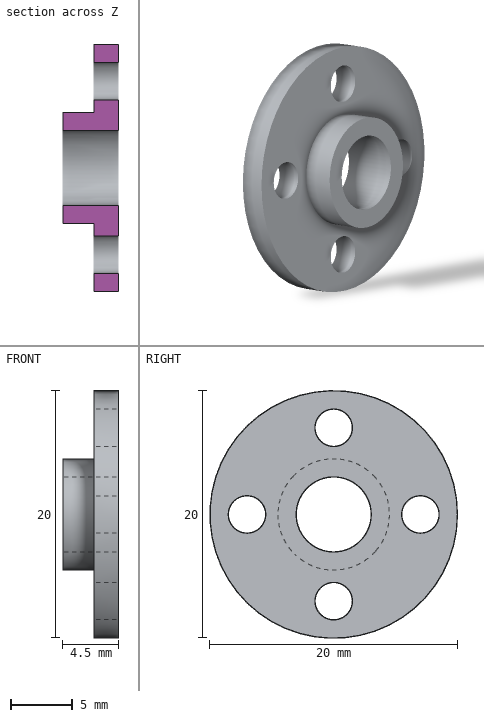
import cadquery as cq

flange_diameter = 20.0
flange_thickness = 2.0
hub_diameter = 9.0
overall_length = 4.5
bore_diameter = 6.05
bolt_hole_diameter = 3.0
bolt_circle_diameter = 14.0
bolt_hole_count = 4

hub_length = overall_length - flange_thickness

hub = cq.Workplane("YZ").circle(hub_diameter / 2).extrude(hub_length)
flange = (
    cq.Workplane("YZ", origin=(hub_length, 0, 0))
    .circle(flange_diameter / 2)
    .extrude(flange_thickness)
)

bore = cq.Workplane("YZ").circle(bore_diameter / 2).extrude(overall_length)
bolt_holes = (
    cq.Workplane("YZ")
    .polarArray(bolt_circle_diameter / 2, 0, 360, bolt_hole_count)
    .circle(bolt_hole_diameter / 2)
    .extrude(overall_length)
)

result = flange.cut(bolt_holes).union(hub).cut(bore)